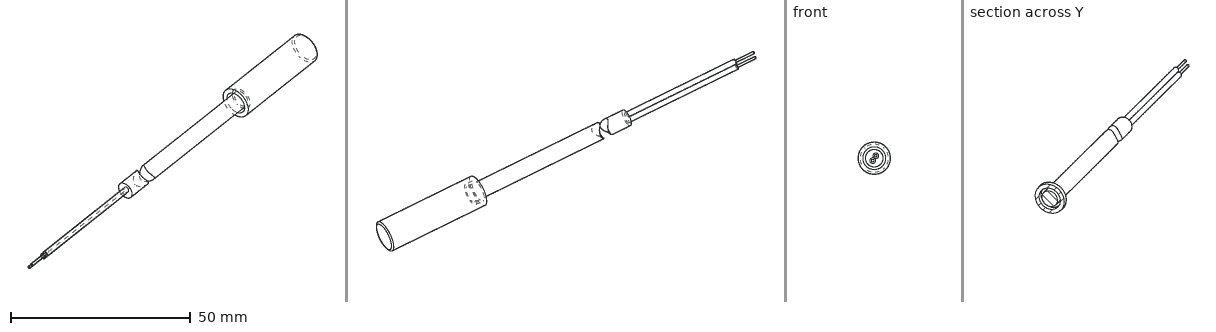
import cadquery as cq
import math

housing_diameter = 9.0
housing_length = 31.0
chamfer_length = 0.4
chamfer_width = 0.6
recess_diameter = 6.3
recess_depth = 2.5

cable_diameter = 4.9
cable_break_y = -39.6
break_gap = 2.7
break_amplitude = 0.9
break_twist = 15.0
block_margin = 1.1
jacket_end_y = -48.9

insulation_diameter = 1.6
insulation_end_y = -84.9
conductor_diameter = 0.7
conductor_end_y = housing_length - 122.0
wire_pair_angle = 57.0


def rod(diameter, y_start, y_end, x=0.0, z=0.0):
    """Cylinder parallel to Y between two Y positions."""
    length = abs(y_end - y_start)
    base = cq.Vector(x, min(y_start, y_end), z)
    return cq.Workplane(cq.Solid.makeCylinder(diameter / 2, length, base, cq.Vector(0, 1, 0)))


def break_block(break_y, flat_y):
    """Block from a flat end to a saddle-shaped break, where Y varies with the product of X and Z."""
    half_side = block_margin * cable_diameter / 2
    corner_rise = 2 * break_amplitude * (half_side / (cable_diameter / 2)) ** 2

    def side_outline(side):
        points = [
            (flat_y, -half_side),
            (break_y + side * corner_rise, -half_side),
            (break_y - side * corner_rise, half_side),
            (flat_y, half_side),
        ]
        vertices = [cq.Vector(side * half_side, y, z) for y, z in points]
        return cq.Wire.makePolygon(vertices, close=True)

    block = cq.Solid.makeLoft([side_outline(-1), side_outline(1)], True)
    return cq.Workplane(block).rotate((0, 0, 0), (0, 1, 0), -break_twist)


def make_housing():
    """Sleeve with a chamfered closed end and a recess around the cable exit."""
    body = rod(housing_diameter, 0, housing_length)
    body = body.faces(">Y").edges().chamfer(chamfer_length, chamfer_width)
    return body.cut(rod(recess_diameter, 0, recess_depth))


def make_cable():
    """Cable from the recess floor to the break."""
    full_cable = rod(cable_diameter, jacket_end_y, recess_depth)
    return full_cable.intersect(break_block(cable_break_y, recess_depth))


def make_cable_tail():
    """Cable beyond the break, with two insulated wires and their bare conductors."""
    full_cable = rod(cable_diameter, jacket_end_y, 0)
    tail = full_cable.intersect(break_block(cable_break_y - break_gap, jacket_end_y))
    wire_offset = insulation_diameter / 2
    angle = math.radians(wire_pair_angle)
    for side in (-1, 1):
        x = side * wire_offset * math.cos(angle)
        z = side * wire_offset * math.sin(angle)
        tail = tail.union(rod(insulation_diameter, jacket_end_y, insulation_end_y, x, z))
        tail = tail.union(rod(conductor_diameter, insulation_end_y, conductor_end_y, x, z))
    return tail


housing = make_housing()
cable = make_cable()
cable_tail = make_cable_tail()

result = cq.Compound.makeCompound([housing.val(), cable.val(), cable_tail.val()])